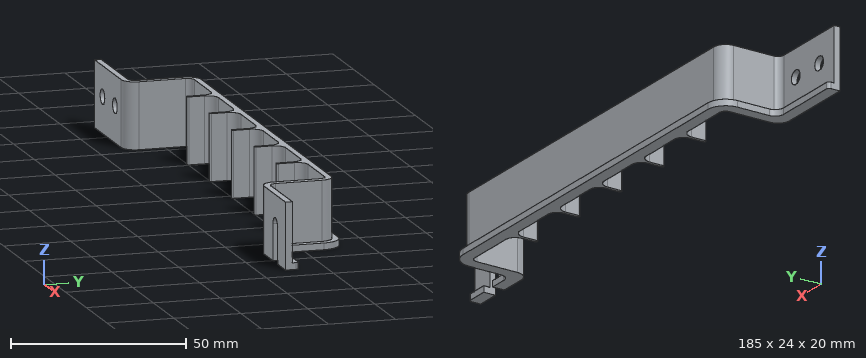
import cadquery as cq

length = 185.0
depth = 24.0
height = 20.0
wall = 2.0

lip_width = 2.0
lip_height = 2.0
lip_end_radius = 1.0

bay_left = 30.0
bay_right = 160.0
bay_bend_radius = 2.0
foot_bend_radius = 4.0
foot_inner_radius = 2.0
lip_foot_radius = 3.0

rib_count = 5
rib_thickness = 1.1
rib_length = 8.3
rib_root_radius = 3.1
rib_tip_radius = 0.46

hole_diameter = 4.5
hole_height = 11.0
hole_positions = (7.8, 19.8)
slot_from_end = 10.0

bay_face = depth - lip_width - wall


def hat_strip(thickness, strip_height, inner_foot_radius):
    """Hat-shaped strip grown backwards from the common front face."""
    outer_left = bay_left - thickness
    outer_right = bay_right + thickness
    outer_face = bay_face + thickness
    points = [
        (0, 0),
        (bay_left, 0),
        (bay_left, bay_face),
        (bay_right, bay_face),
        (bay_right, 0),
        (length, 0),
        (length, thickness),
        (outer_right, thickness),
        (outer_right, outer_face),
        (outer_left, outer_face),
        (outer_left, thickness),
        (0, thickness),
    ]
    strip = cq.Workplane("XY").polyline(points).close().extrude(strip_height)
    bends = [
        (bay_left, bay_right, 0, foot_bend_radius),
        (bay_left, bay_right, bay_face, bay_bend_radius),
        (outer_left, outer_right, thickness, inner_foot_radius),
        (outer_left, outer_right, outer_face, bay_bend_radius + thickness),
    ]
    for left, right, y, radius in bends:
        for x in (left, right):
            edge = cq.selectors.NearestToPointSelector((x, y, strip_height / 2))
            strip = strip.edges(edge).fillet(radius)
    return strip


def rib(x):
    """Thin rib with a rounded tip and a flared root, centred on x."""
    half = rib_thickness / 2
    tip = bay_face - rib_length
    root = bay_face - rib_root_radius
    flare = half + rib_root_radius
    blade = (
        cq.Workplane("XY")
        .center(x, 0)
        .moveTo(-half, tip)
        .lineTo(half, tip)
        .lineTo(half, root)
        .radiusArc((flare, bay_face), rib_root_radius)
        .lineTo(flare, bay_face + wall / 2)
        .lineTo(-flare, bay_face + wall / 2)
        .lineTo(-flare, bay_face)
        .radiusArc((-half, root), rib_root_radius)
        .close()
        .extrude(height)
    )
    return blade.faces("<Y").edges("|Z").fillet(rib_tip_radius)


def hole_cutter(x):
    """Round cutter through a foot from front to back."""
    return (
        cq.Workplane("XZ")
        .center(x, hole_height)
        .circle(hole_diameter / 2)
        .extrude(-depth)
    )


body = hat_strip(wall, height, foot_inner_radius)
lip = hat_strip(wall + lip_width, lip_height, lip_foot_radius)
for end_x in (0, length):
    lip_end = cq.selectors.NearestToPointSelector((end_x, wall + lip_width, lip_height / 2))
    lip = lip.edges(lip_end).fillet(lip_end_radius)
body = body.union(lip)

rib_pitch = (bay_right - bay_left) / (rib_count + 1)
for index in range(1, rib_count + 1):
    body = body.union(rib(bay_left + index * rib_pitch))

for hole_x in hole_positions:
    body = body.cut(hole_cutter(hole_x))

slot_x = length - slot_from_end
slot_stem = cq.Workplane("XY").box(
    hole_diameter, depth, hole_height, centered=(True, False, False)
).translate((slot_x, 0, 0))
body = body.cut(hole_cutter(slot_x)).cut(slot_stem)

result = body